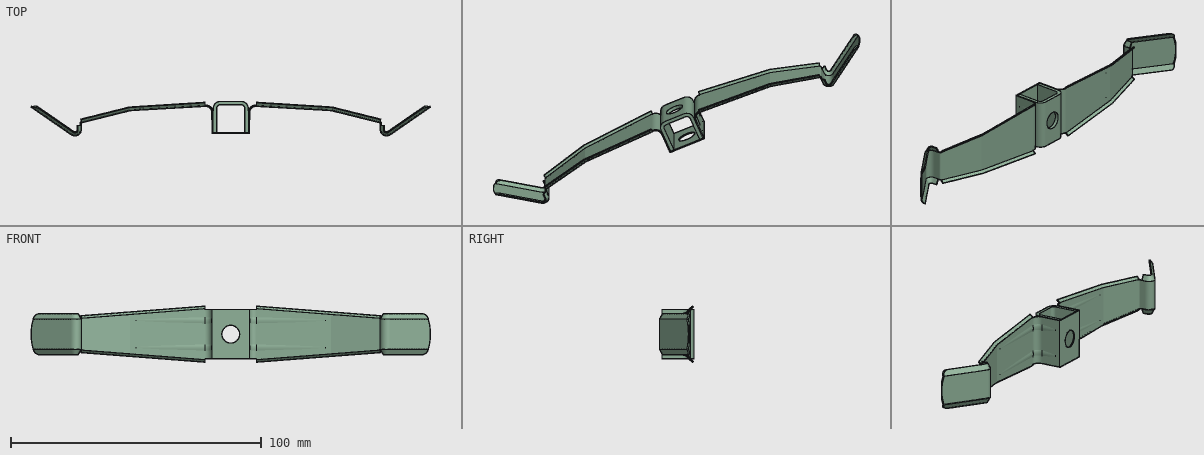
import cadquery as cq
import math

length = 159.3
depth = 13.9
sheet = 0.5
hole_diameter = 7.0

channel_width = 15.0
channel_height = 19.8
channel_front = -12.9
corner_radius = 0.3
bracket_wall = 1.5
bracket_inner_radius = 1.5

root_radius = 2.5
root_y = -1.9
root_half = 10.2
neck_half = 6.4
fold_x = 40.1
inner_slope = math.radians(3.6)
outer_slope = math.radians(14)
arm_flange_rise = 1.04
arm_flange_depth = 1.3

neck_x = 59.5
neck_radius = 0.2
hook_radius = 2.5
hook_flange_end = -9.5
pad_slope = math.radians(34.6)
pad_half = 6.0
pad_flange_rise = 2.2
pad_flange_depth = 1.3
pad_bow_radius = 21.5
pad_corner_radius = 2.9

bead_z = 5.4
bead_width = 2.4
bead_height = 0.2
bead_arm_tip = 37.8
bead_side_tip = -10.8


def polar(center, radius, angle):
    """Point in plan at a distance and direction from another point."""
    return (center[0] + radius * math.cos(angle), center[1] + radius * math.sin(angle))


root_center = (-channel_width / 2 - root_radius, root_y - root_radius)
inner_normal = math.pi / 2 + inner_slope
outer_normal = math.pi / 2 + outer_slope
pad_normal = math.pi / 2 - pad_slope

root_point = polar(root_center, root_radius, inner_normal)
fold_y = root_point[1] - (fold_x + root_point[0]) * math.tan(inner_slope)
fold_point = (-fold_x, fold_y)
neck_center_x = -neck_x + neck_radius
neck_point_x = neck_center_x - neck_radius * math.sin(outer_slope)
neck_point = (neck_point_x, fold_y - (-fold_x - neck_point_x) * math.tan(outer_slope))
neck_center = (neck_center_x, neck_point[1] - neck_radius * math.cos(outer_slope))
hook_center = (-neck_x - hook_radius, -depth + hook_radius)
pad_start = polar(hook_center, hook_radius, pad_normal + math.pi)
pad_length = (length / 2 + pad_start[0]) / math.cos(pad_slope)
pad_end = polar(pad_start, pad_length, math.pi - pad_slope)


def sheet_section(point, normal, flat_half, rise=0.0, reach=0.0):
    """Outline of the sheet across its length: a flat web with both edges turned along the normal."""
    turn = math.atan2(reach, rise) if rise else 0.0
    upper = [(0.0, flat_half)]
    if rise:
        upper.append((reach, flat_half + rise))
        upper.append((reach + sheet * math.cos(turn), flat_half + rise - sheet * math.sin(turn)))
    upper.append((sheet, flat_half - sheet * math.tan(turn / 2)))
    outline = upper + [(offset, -z) for offset, z in reversed(upper)]
    corners = [cq.Vector(*polar(point, offset, normal), z) for offset, z in outline]
    return cq.Wire.makePolygon(corners, close=True)


def panel(*sections):
    """Straight stretch of sheet between two sections."""
    return cq.Workplane(obj=cq.Solid.makeLoft(list(sections), True))


def bend(section, center, angle):
    """Turn a section about a vertical axis; the angle is counter-clockwise from above."""
    start = cq.Vector(center[0], center[1], 0)
    end = start + cq.Vector(0, 0, 1.6)
    return cq.Workplane(obj=cq.Solid.revolve(section, [], math.degrees(angle), start, end))


def make_channel():
    """Open channel with its front wall, up to where the root bends start."""
    wall_length = root_center[1] - channel_front
    outer = (
        cq.Workplane("XY")
        .box(channel_width, wall_length, channel_height, centered=(True, False, True))
        .edges("|Z and <Y").fillet(corner_radius)
    )
    inner = (
        cq.Workplane("XY").center(0, sheet)
        .box(channel_width - 2 * sheet, wall_length, channel_height, centered=(True, False, True))
    )
    return outer.cut(inner).translate((0, channel_front, 0))


def make_arm():
    """Root bend and the two tapering panels of the left arm."""
    root = bend(
        sheet_section(polar(root_center, root_radius, 0), 0, channel_height / 2),
        root_center, inner_normal,
    )
    fold_normal = (inner_normal + outer_normal) / 2
    fold_share = (fold_point[0] - neck_point[0]) / (root_point[0] - neck_point[0])
    fold_half = neck_half + fold_share * (root_half - neck_half)
    fold_section = (fold_point, fold_normal, fold_half, arm_flange_rise, arm_flange_depth)
    inner = panel(
        sheet_section(root_point, inner_normal, root_half, arm_flange_rise, arm_flange_depth),
        sheet_section(*fold_section),
    )
    outer = panel(
        sheet_section(*fold_section),
        sheet_section(neck_point, outer_normal, neck_half, arm_flange_rise, arm_flange_depth),
    )
    return root.union(inner).union(outer)


def make_hook():
    """Neck, round bend and pad at the left end; the turned edges start below the neck."""
    flange = (pad_flange_rise, pad_flange_depth)
    neck_top = (-neck_x, neck_center[1])
    flange_end = (-neck_x, hook_flange_end)
    bend_start = (-neck_x, hook_center[1])
    neck_bend = bend(
        sheet_section(neck_point, outer_normal, pad_half), neck_center, math.pi - outer_normal
    )
    neck = panel(
        sheet_section(neck_top, math.pi, pad_half), sheet_section(flange_end, math.pi, pad_half)
    )
    lip = panel(
        sheet_section(flange_end, math.pi, pad_half, *flange),
        sheet_section(bend_start, math.pi, pad_half, *flange),
    )
    round_bend = bend(
        sheet_section(bend_start, math.pi, pad_half, *flange),
        hook_center, pad_normal - math.pi,
    )
    pad = panel(
        sheet_section(pad_start, pad_normal, pad_half, *flange),
        sheet_section(pad_end, pad_normal, pad_half, *flange),
    )
    hook = lip.union(round_bend).union(pad.intersect(make_pad_outline()))
    return hook.union(neck).union(neck_bend)


def make_pad_outline():
    """Block with the pad's bowed, round-cornered end, standing across the pad."""
    outer_half = pad_half + pad_flange_rise
    bow = pad_bow_radius - math.sqrt(pad_bow_radius**2 - outer_half**2)
    end_x = -length / 2
    return (
        cq.Workplane("XZ")
        .moveTo(-neck_x, -outer_half)
        .lineTo(end_x + bow, -outer_half)
        .threePointArc((end_x, 0), (end_x + bow, outer_half))
        .lineTo(-neck_x, outer_half)
        .close()
        .extrude(2 * depth, both=True)
        .edges("|Y and (not >X)").fillet(pad_corner_radius)
    )


def bead_run(surface_point, normal, direction, run):
    """Straight part of a bead: a tilted cylinder that sinks into the sheet and vanishes at its tip."""
    radius = (bead_width**2 / 4 + bead_height**2) / (2 * bead_height)
    along = cq.Vector(*polar((0, 0), 1, direction), 0)
    inward = cq.Vector(*polar((0, 0), 1, normal), 0)
    surface = cq.Vector(*surface_point, 0)
    tip = surface + along * run + inward * radius
    start = surface - along * run + inward * (radius - 2 * bead_height)
    axis = tip - start
    rod = cq.Workplane(obj=cq.Solid.makeCylinder(radius, axis.Length, start, axis))
    front_side = (
        cq.Workplane(cq.Plane(surface + inward * (sheet / 2), along, inward * -1))
        .box(run, bead_width, sheet / 2 + bead_height, centered=(False, True, False))
    )
    return rod.intersect(front_side)


def make_bead():
    """Rounded bead that fades out along the arm and along the channel side."""
    side_point = polar(root_center, root_radius, 0)
    arm_run = bead_run(root_point, inner_normal, math.pi + inner_slope, bead_arm_tip + root_point[0])
    side_run = bead_run(side_point, 0, -math.pi / 2, side_point[1] - bead_side_tip)
    profile = (
        cq.Workplane(cq.Plane((*side_point, 0), (1, 0, 0), (0, -1, 0)))
        .moveTo(sheet / 2, -bead_width / 2)
        .lineTo(0, -bead_width / 2)
        .threePointArc((-bead_height, 0), (0, bead_width / 2))
        .lineTo(sheet / 2, bead_width / 2)
        .close()
    )
    return arm_run.union(side_run).union(bend(profile.val(), root_center, inner_normal))


def make_spring():
    """Channel with an arm, hook and beads on each side."""
    half = make_arm().union(make_hook())
    bead = make_bead()
    for z in (-bead_z, bead_z):
        half = half.union(bead.translate((0, 0, z)))
    spring = make_channel().union(half).union(half.mirror("YZ"))
    return spring.cut(make_hole())


def make_hole():
    """Cutter for the hole that runs front to back through both bodies."""
    return cq.Workplane("XZ").circle(hole_diameter / 2).extrude(2 * depth, both=True)


def make_bracket():
    """U-shaped bracket whose open side is closed by the front wall of the channel."""
    outer_width = channel_width - 2 * sheet
    leg_length = -channel_front - sheet
    bracket = (
        cq.Workplane("XY")
        .box(outer_width, leg_length, channel_height, centered=(True, False, True))
        .edges("|Z and >Y").fillet(bracket_inner_radius + bracket_wall)
    )
    opening = (
        cq.Workplane("XY")
        .box(outer_width - 2 * bracket_wall, leg_length - bracket_wall, channel_height,
             centered=(True, False, True))
        .edges("|Z and >Y").fillet(bracket_inner_radius)
    )
    return bracket.cut(opening).translate((0, -leg_length, 0)).cut(make_hole())


spring = make_spring()
bracket = make_bracket()
result = cq.Compound.makeCompound([spring.solids().val(), bracket.solids().val()])